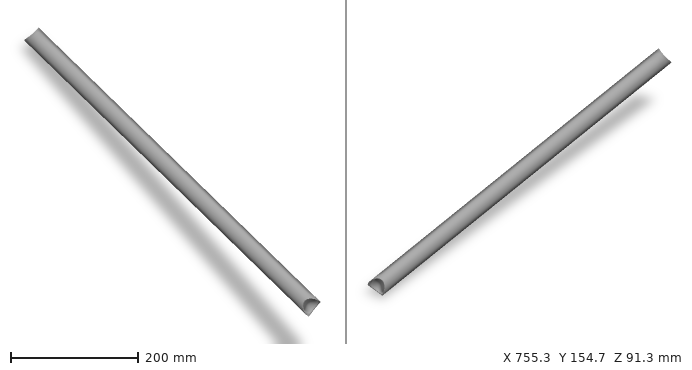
import cadquery as cq

tube_diameter = 30.0
wall = 1.5
tube_run = cq.Vector(100, 16.8, 8.4)

notch_radius = 16.0
span = 763.0
start_roll = 19.5
finish_roll = 36.7
start_lean = -1.5
finish_lean = -5.9

tube_radius = tube_diameter / 2
tip_offset = (notch_radius**2 - tube_radius**2) ** 0.5
notch_spacing = span + 2 * tip_offset
notch_length = 4 * tube_diameter


def notch(position, lean, roll):
    """Cylinder crossing the tube at a position along its axis (local Z)."""
    cylinder = cq.Workplane("XZ").circle(notch_radius).extrude(notch_length / 2, both=True)
    leaning = cylinder.rotate((0, 0, 0), (1, 0, 0), lean)
    return leaning.rotate((0, 0, 0), (0, 0, 1), roll).translate((0, 0, position))


level_side = cq.Vector(0, 0, 1).cross(tube_run)
frame = cq.Plane(origin=(0, 0, 0), xDir=level_side, normal=tube_run)

tube = (
    cq.Workplane("XY")
    .circle(tube_radius)
    .circle(tube_radius - wall)
    .extrude(notch_spacing / 2, both=True)
)
tube = tube.cut(notch(-notch_spacing / 2, start_lean, start_roll))
tube = tube.cut(notch(notch_spacing / 2, finish_lean, finish_roll))
tube = tube.solids(cq.selectors.NearestToPointSelector((0, 0, 0)))

result = cq.Workplane(tube.val().moved(cq.Location(frame)))